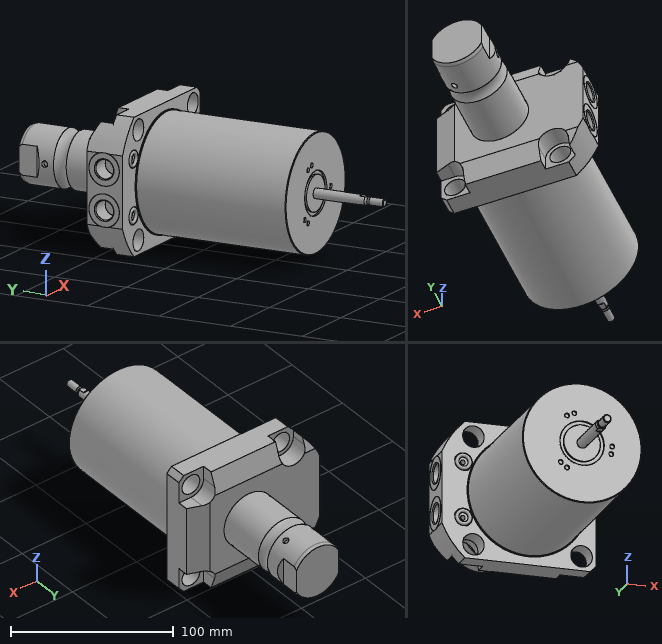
import cadquery as cq
import math


flange_thickness = 25.0
flange_radius = 60.2
flange_left = 55.5
flange_right = 44.5
flange_half_height = 44.5
bevel_start = 30.0
bevel_depth = 5.5
bevel_slope = bevel_depth / (flange_half_height - bevel_start)

bolt_offset = 35.0
bolt_hole_radius = 7.0
pocket_radius = 9.9
pocket_floor = 12.0

port_height = 13.0
port_radius = 6.2
port_chamfer = 0.7
port_depth = 12.8
port_y = 12.8
spotface_radius = 10.5
spotface_depth = 0.12
drilling_x = -41.5
drilling_height = 18.0
drilling_radius = 1.5
seat_radius = 5.7
seat_depth = 1.5
ring_outer_radius = 5.5
ring_section_radius = 1.2

barrel_radius = 77.2 / 2
barrel_length = 104.8
barrel_chamfer = 0.5
collar_radius = 39.2
collar_length = 0.7
face_groove_inner_radius = 11.8
face_groove_outer_radius = 14.3
face_groove_depth = 1.2
pin_hole_circle_radius = 19.5
pin_hole_radius = 1.5
pin_hole_depth = 1.2
pin_hole_pairs = 3
pin_hole_pair_angle = 15

nose_radius = 19.2
nose_end = 93.5
nose_chamfer_length = 2.5
nose_chamfer_height = 0.7
neck_groove_start = 59.0
neck_groove_end = 67.8
neck_groove_depth = 1.5
wrench_half_width = 16.5
wrench_flat_length = 12.8
nose_hole_from_end = 19.5
nose_hole_radius = 2.0
nose_hole_depth = 2.5
nose_hole_count = 3

overall_length = 246.7
rod_radius = 6.7 / 2
rod_flat_half_width = 2.7
rod_flat_start = 136.6
rod_chamfer_start = 140.3
rod_shoulder = 141.8
rod_neck_end = 143.3
rod_neck_radius = 2.5
tip_radius = 5.2 / 2
tip_end = overall_length - nose_end
tip_chamfer = 0.5


def disc_along_y(radius, start, end, x=0.0, z=0.0):
    """Cylinder parallel to Y, from Y = start to Y = end."""
    return cq.Workplane("XZ", origin=(x, start, z)).circle(radius).extrude(start - end)


def block(x_range, y_range, z_range):
    """Box between two limits on each axis."""
    low, high = zip(x_range, y_range, z_range)
    size = [b - a for a, b in zip(low, high)]
    return cq.Workplane("XY").box(*size, centered=False).translate(low)


def bevel_cutter():
    """Wedge above the rear bevel on the +X side, sloping down away from the axis."""
    reach = flange_radius
    drop = (reach - bevel_start) * bevel_slope
    return (
        cq.Workplane("XY")
        .moveTo(bevel_start, flange_thickness)
        .lineTo(reach, flange_thickness)
        .lineTo(reach, flange_thickness - drop)
        .close()
        .extrude(flange_radius, both=True)
    )


def bolt_pocket(side_x, side_z):
    """Round-ended pocket behind a bolt hole, open to the nearest Z side and, on the right, to +X."""
    y_range = (pocket_floor, flange_thickness)
    x, z = side_x * bolt_offset, side_z * bolt_offset
    z_outer = side_z * flange_radius
    pocket = disc_along_y(pocket_radius, *y_range, x, z)
    slot = block((x - pocket_radius, x + pocket_radius), y_range, sorted((z, z_outer)))
    pocket = pocket.union(slot)
    if side_x > 0:
        z_inner = z - side_z * pocket_radius
        pocket = pocket.union(block((x, flange_radius), y_range, sorted((z_inner, z_outer))))
    return pocket


def make_flange():
    flange = disc_along_y(flange_radius, 0, flange_thickness)
    flange = flange.intersect(
        block(
            (-flange_left, flange_right),
            (0, flange_thickness),
            (-flange_half_height, flange_half_height),
        )
    )
    for turn in (0, 90, -90):
        flange = flange.cut(bevel_cutter().rotate((0, 0, 0), (0, 1, 0), turn))
    for side_x in (-1, 1):
        for side_z in (-1, 1):
            hole = disc_along_y(
                bolt_hole_radius, 0, flange_thickness, side_x * bolt_offset, side_z * bolt_offset
            )
            flange = flange.cut(hole).cut(bolt_pocket(side_x, side_z))
    return flange


def make_barrel():
    end = -barrel_length
    barrel = disc_along_y(barrel_radius, 0, end).faces("<Y").chamfer(barrel_chamfer)
    barrel = barrel.union(disc_along_y(collar_radius, 0, -collar_length))
    groove = disc_along_y(face_groove_outer_radius, end, end + face_groove_depth)
    groove = groove.cut(disc_along_y(face_groove_inner_radius, end, end + face_groove_depth))
    barrel = barrel.cut(groove)
    for pair in range(pin_hole_pairs):
        for offset in (0, pin_hole_pair_angle):
            angle = math.radians(pair * 360 / pin_hole_pairs - offset)
            x = pin_hole_circle_radius * math.cos(angle)
            z = pin_hole_circle_radius * math.sin(angle)
            barrel = barrel.cut(disc_along_y(pin_hole_radius, end, end + pin_hole_depth, x, z))
    return barrel


def make_nose():
    groove_middle = (neck_groove_start + neck_groove_end) / 2
    nose = (
        cq.Workplane("XY")
        .lineTo(nose_radius, 0)
        .lineTo(nose_radius, neck_groove_start)
        .threePointArc(
            (nose_radius - neck_groove_depth, groove_middle), (nose_radius, neck_groove_end)
        )
        .lineTo(nose_radius, nose_end - nose_chamfer_length)
        .lineTo(nose_radius - nose_chamfer_height, nose_end)
        .lineTo(0, nose_end)
        .close()
        .revolve(360, (0, 0), (0, 1))
    )
    flat_start = nose_end - wrench_flat_length
    runout = nose_radius - wrench_half_width
    wrench_flat = (
        cq.Workplane("XY")
        .moveTo(wrench_half_width, nose_end)
        .lineTo(wrench_half_width, flat_start)
        .lineTo(nose_radius, flat_start - runout)
        .lineTo(nose_radius, nose_end)
        .close()
        .extrude(nose_radius, both=True)
    )
    nose = nose.cut(wrench_flat).cut(wrench_flat.mirror("YZ"))
    for index in range(nose_hole_count):
        hole = (
            cq.Workplane("YZ", origin=(-nose_radius, nose_end - nose_hole_from_end, 0))
            .circle(nose_hole_radius)
            .extrude(nose_hole_depth)
            .rotate((0, 0, 0), (0, 1, 0), index * 360 / nose_hole_count)
        )
        nose = nose.cut(hole)
    return nose


def make_rod():
    rod = (
        cq.Workplane("XY")
        .lineTo(rod_radius, 0)
        .lineTo(rod_radius, -rod_chamfer_start)
        .lineTo(tip_radius, -rod_shoulder)
        .lineTo(rod_neck_radius, -rod_shoulder)
        .lineTo(rod_neck_radius, -rod_neck_end)
        .lineTo(tip_radius, -rod_neck_end)
        .lineTo(tip_radius, tip_chamfer - tip_end)
        .lineTo(tip_radius - tip_chamfer, -tip_end)
        .lineTo(0, -tip_end)
        .close()
        .revolve(360, (0, 0), (0, 1))
    )
    for z_range in ((rod_flat_half_width, rod_radius), (-rod_radius, -rod_flat_half_width)):
        rod = rod.cut(block((-rod_radius, rod_radius), (-rod_shoulder, -rod_flat_start), z_range))
    return rod


def port_cutter(side):
    """Side port with its spotface, and the cross drilling with its O-ring seat."""
    port_plane = cq.Workplane("YZ", origin=(-flange_left, port_y, side * port_height))
    port = port_plane.circle(port_radius).extrude(port_depth)
    mouth = (
        port_plane.circle(port_radius + port_chamfer)
        .workplane(offset=port_chamfer + spotface_depth)
        .circle(port_radius)
        .loft()
    )
    spotface = port_plane.circle(spotface_radius).extrude(spotface_depth)
    drilling_z = side * drilling_height
    drilling = disc_along_y(drilling_radius, 0, port_y, drilling_x, drilling_z)
    seat = disc_along_y(seat_radius, 0, seat_depth, drilling_x, drilling_z)
    return port.union(mouth).union(spotface).union(drilling).union(seat)


def make_housing():
    housing = make_flange().union(make_barrel()).union(make_nose()).union(make_rod())
    for side in (-1, 1):
        housing = housing.cut(port_cutter(side))
    return housing


def make_o_ring(side):
    """O-ring resting on the floor of its seat and standing proud of the front face."""
    centre = cq.Vector(drilling_x, seat_depth - ring_section_radius, side * drilling_height)
    return cq.Solid.makeTorus(
        ring_outer_radius - ring_section_radius, ring_section_radius, centre, cq.Vector(0, 1, 0)
    )


housing = make_housing()
o_rings = [make_o_ring(side) for side in (-1, 1)]
result = cq.Compound.makeCompound([housing.val(), *o_rings])